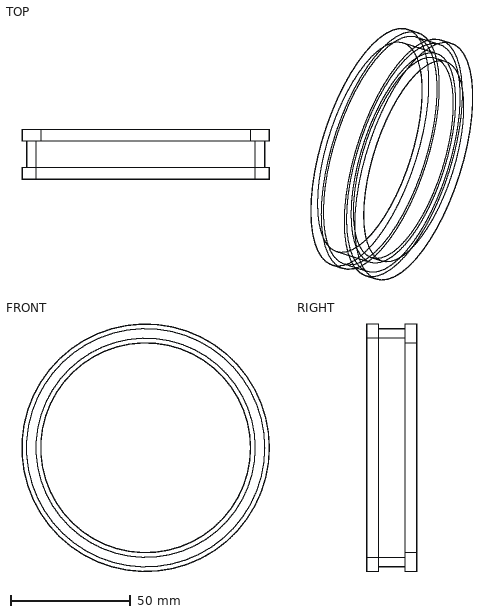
import cadquery as cq

outer_diameter = 104.0
ring_width = 21.0
flange_width = 5.0
groove_diameter = 100.0
bore_diameter = 88.0
counterbore_diameter = 92.0
lip_width = 5.0

half_width = ring_width / 2
groove_width = ring_width - 2 * flange_width
counterbore_depth = ring_width - lip_width


def cylinder(diameter, start_y, length):
    """Solid cylinder along Y, from start_y towards +Y."""
    return (
        cq.Workplane("XZ", origin=(0, start_y, 0))
        .circle(diameter / 2)
        .extrude(-length)
    )


body = cylinder(outer_diameter, -half_width, ring_width)

groove = cylinder(outer_diameter, -groove_width / 2, groove_width).cut(
    cylinder(groove_diameter, -groove_width / 2, groove_width)
)

bore = cylinder(bore_diameter, -half_width, ring_width)
counterbore = cylinder(counterbore_diameter, -half_width, counterbore_depth)

result = body.cut(groove).cut(bore).cut(counterbore)